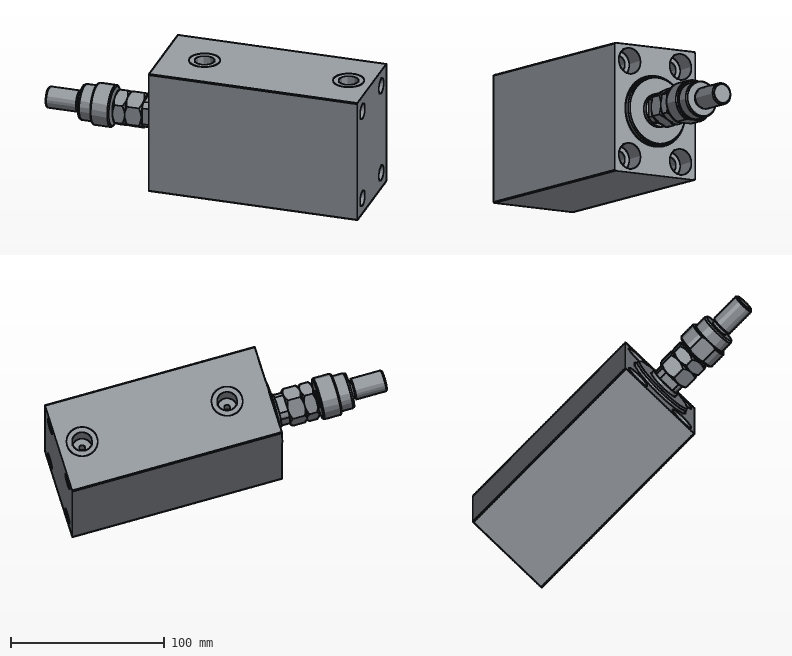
import cadquery as cq
import math

tip_thread_end = 21.0
collar_start = 23.8
case_start = 32.9
case_end = 45.7
nut_start = 47.5
nut_end = 56.0
hex_end = 67.3
flats_end = 73.3
gland_front = 76.0
block_front = 79.0
block_back = 222.0
gland_depth = 17.8
gland_back = block_front + gland_depth

block_width = 63.0
block_height = 85.0
block_chamfer = 0.7
gland_mouth_chamfer = 1.0

bolt_spacing_y = 40.0
bolt_spacing_z = 63.0
bolt_hole_diameter = 10.5
bolt_head_diameter = 17.0
bolt_head_depth = 13.3

port_positions = (107.2, 206.0)
port_face_diameter = 20.5
port_face_depth = 0.2
port_diameter = 13.0
port_depth = 12.0
port_drill_diameter = 4.0
port_drill_depth = 8.0

gland_radius = 22.5
gland_chamfer_length = 1.3
gland_chamfer_height = 0.7

rod_diameter = 22.0
rod_across_flats = 18.0
flats_corner_diameter = 21.3
hex_across_flats = 22.0
hex_corner_radius = hex_across_flats / 2 / math.cos(math.pi / 6)
hex_face_radius = hex_across_flats / 2
hex_chamfer_length = 1.5

thread_radius = 7.0
undercut_radius = 5.8
undercut_taper = 0.7
collar_radius = 12.0
collar_chamfer_length = 1.3
collar_chamfer_height = 0.7
case_radius = 14.0
case_flat_height = 12.7
edge_chamfer = 0.9
stud_end = hex_end


def turned(profile):
    """Revolve an (x, radius) outline about the X axis."""
    start = (profile[0][0], 0)
    end = (profile[-1][0], 0)
    outline = cq.Workplane("XY").polyline([start, *profile, end]).close()
    return outline.revolve(360, (0, 0, 0), (1, 0, 0))


def cylinder_x(start, end, radius):
    """Cylinder along the X axis from start to end."""
    return turned([(start, radius), (end, radius)])


def chamfered_hexagon(start, end):
    """Hexagon along X, corners up and down, with both ends turned to a chamfer."""
    prism = (
        cq.Workplane("YZ", origin=(start, 0, 0))
        .transformed(rotate=(0, 0, 90))
        .polygon(6, 2 * hex_corner_radius)
        .extrude(end - start)
    )
    envelope = turned([
        (start, hex_face_radius),
        (start + hex_chamfer_length, hex_corner_radius),
        (end - hex_chamfer_length, hex_corner_radius),
        (end, hex_face_radius),
    ])
    return prism.intersect(envelope)


def make_block():
    length = block_back - block_front
    block = (
        cq.Workplane("XY")
        .box(length, block_width, block_height)
        .translate((block_front + length / 2, 0, 0))
        .edges("|X")
        .chamfer(block_chamfer)
    )

    block = (
        block.faces("<X")
        .workplane(origin=(block_front, 0, 0))
        .rarray(bolt_spacing_y, bolt_spacing_z, 2, 2)
        .cboreHole(bolt_hole_diameter, bolt_head_diameter, bolt_head_depth)
    )

    seat = turned([
        (block_front, gland_radius + gland_mouth_chamfer),
        (block_front + gland_mouth_chamfer, gland_radius),
        (gland_back, gland_radius),
    ])
    block = block.cut(seat)

    steps = (
        (port_face_diameter, port_face_depth),
        (port_diameter, port_depth),
        (port_drill_diameter, port_depth + port_drill_depth),
    )
    for diameter, depth in steps:
        for x in port_positions:
            bore = (
                cq.Workplane("XY", origin=(x, 0, block_height / 2))
                .circle(diameter / 2)
                .extrude(-depth)
            )
            block = block.cut(bore)
    return block


def make_gland():
    gland = turned([
        (gland_front, gland_radius - gland_chamfer_height),
        (gland_front + gland_chamfer_length, gland_radius),
        (gland_back, gland_radius),
    ])
    return gland.cut(cylinder_x(gland_front, gland_back, rod_diameter / 2))


def make_rod():
    """Piston rod with four wrench flats and a threaded hexagon end."""
    flats = (
        cq.Workplane("YZ", origin=(hex_end, 0, 0))
        .rect(rod_across_flats, rod_across_flats)
        .extrude(flats_end - hex_end)
        .intersect(cylinder_x(hex_end, flats_end, flats_corner_diameter / 2))
    )
    shaft = cylinder_x(flats_end, gland_back, rod_diameter / 2)
    rod = shaft.union(flats).union(chamfered_hexagon(nut_end, hex_end))
    return rod.cut(cylinder_x(nut_end, stud_end, thread_radius))


def make_lock_nut():
    return chamfered_hexagon(nut_start, nut_end).cut(cylinder_x(nut_start, nut_end, thread_radius))


def make_joint():
    """Tip thread, collar, case and rear stud turned in one piece."""
    joint = turned([
        (0, thread_radius - edge_chamfer),
        (edge_chamfer, thread_radius),
        (tip_thread_end, thread_radius),
        (tip_thread_end + undercut_taper, undercut_radius),
        (collar_start, undercut_radius),
        (collar_start, collar_radius - collar_chamfer_height),
        (collar_start + collar_chamfer_length, collar_radius),
        (case_start, collar_radius),
        (case_start, case_radius - edge_chamfer),
        (case_start + edge_chamfer, case_radius),
        (case_end - edge_chamfer, case_radius),
        (case_end, case_radius - edge_chamfer),
        (case_end, undercut_radius),
        (nut_start - undercut_taper, undercut_radius),
        (nut_start, thread_radius),
        (stud_end, thread_radius),
    ])
    below_flat = (
        cq.Workplane("XY", origin=(0, 0, -case_flat_height))
        .rect(2 * case_end, 2 * case_radius)
        .extrude(-case_radius)
    )
    return joint.cut(below_flat)


block = make_block()
gland = make_gland()
rod = make_rod()
lock_nut = make_lock_nut()
joint = make_joint()

result = cq.Compound.makeCompound([
    block.val(),
    gland.val(),
    rod.val(),
    lock_nut.val(),
    joint.val(),
])